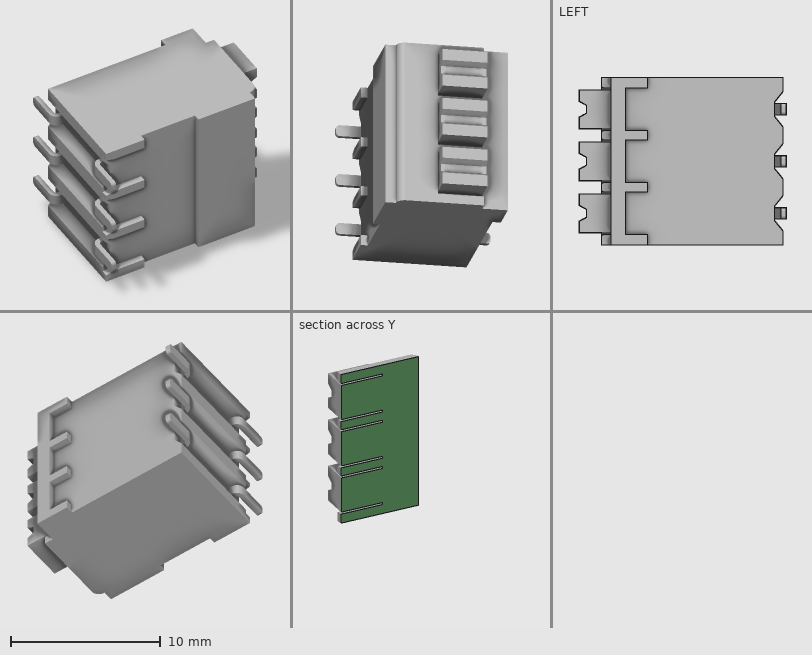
import cadquery as cq
import math


total_depth = 13.85
lead_standoff = 0.22
housing_height = 11.2
unit_pitch = 3.48
unit_centers = [-unit_pitch, 0, unit_pitch]

housing_width = 7.77
housing_depth = 11.5
side_window_half_height = 1.41

flange_projection = 0.57
flange_front = 9.06
flange_notch_end = 10.51

recess_depth = 0.47
recess_front = 2.96
recess_back = 7.12
recess_floor = housing_width - recess_depth
tab_bevel_width = 0.15

groove_depth = 0.57
groove_mouth_half_height = 1.18
groove_floor_half_height = 0.47

rim_height = 0.64
rim_left = 1.16
rim_right = 7.05
rim_corner_radius = 0.65
rim_corner_start = 6.58
rim_back = housing_depth + rim_height
rim_edge_radius = 0.3
rim_edge_depth = 0.22

actuator_clearance = 0.05
actuator_left = rim_left + actuator_clearance
actuator_width = 3.07
actuator_half_height = 1.3
actuator_back = total_depth - lead_standoff
actuator_notch_depth = 0.48
actuator_notch_mouth_half_height = 0.53
actuator_notch_floor_half_height = 0.26

lead_span = 10.5
lead_left = -1.6
lead_mid = lead_left + lead_span / 2
lead_height = 0.78
lead_thickness = 0.35
lead_bend_radius = 0.58
lead_tip_radius = 0.24
lead_leg_inner = 1.08
lead_embedding = 0.28


def box(x_range, y_range, z_range):
    """Axis-aligned box between the given limits."""
    size = [high - low for low, high in (x_range, y_range, z_range)]
    corner = (x_range[0], y_range[0], z_range[0])
    return cq.Workplane("XY").box(*size, centered=False).translate(corner)


def extrude_along_x(points, x_start, x_end):
    """Prism along X with a closed (Y, Z) outline."""
    return cq.Workplane("YZ").workplane(offset=x_start).polyline(points).close().extrude(x_end - x_start)


def make_housing():
    """Body with the stepped outline, extruded over the full height."""
    outline = (
        cq.Workplane("XY")
        .workplane(offset=-housing_height / 2)
        .moveTo(0, 0)
        .lineTo(housing_width, 0)
        .lineTo(housing_width, recess_front)
        .lineTo(recess_floor, recess_front)
        .lineTo(recess_floor, recess_back)
        .lineTo(housing_width, recess_back)
        .lineTo(housing_width, housing_depth)
        .lineTo(rim_right, housing_depth)
        .radiusArc((rim_corner_start, rim_back), -rim_corner_radius)
        .lineTo(rim_left, rim_back)
        .lineTo(rim_left, housing_depth)
        .lineTo(-flange_projection, housing_depth)
        .lineTo(-flange_projection, flange_front)
        .lineTo(0, flange_front)
        .close()
    )
    return outline.extrude(housing_height)


def make_front_groove(z):
    """V-shaped channel in the front face."""
    points = [
        (0, z - groove_mouth_half_height),
        (groove_depth, z - groove_floor_half_height),
        (groove_depth, z + groove_floor_half_height),
        (0, z + groove_mouth_half_height),
    ]
    return extrude_along_x(points, 0, housing_width)


def make_tab_opening(z):
    """Opening through the front right tab, with a bevelled mouth."""
    mouth_half_height = side_window_half_height + tab_bevel_width
    points = [
        (0, z - mouth_half_height),
        (groove_depth, z - side_window_half_height),
        (recess_front, z - side_window_half_height),
        (recess_front, z + side_window_half_height),
        (groove_depth, z + side_window_half_height),
        (0, z + mouth_half_height),
    ]
    return extrude_along_x(points, recess_floor, housing_width)


def make_flange_notch(z):
    """Notch in the front of the left flange."""
    return box(
        (-flange_projection, 0),
        (flange_front, flange_notch_end),
        (z - side_window_half_height, z + side_window_half_height),
    )


def make_rim_window(z):
    """Pocket in the rear rim around one actuator, with rounded outer edges."""
    edge_widening = rim_edge_radius - math.sqrt(rim_edge_radius**2 - rim_edge_depth**2)
    mouth_half_height = side_window_half_height + edge_widening
    edge_start = rim_back - rim_edge_depth
    window_right = actuator_left + actuator_width
    return (
        cq.Workplane("YZ")
        .workplane(offset=rim_left)
        .moveTo(housing_depth, z - side_window_half_height)
        .lineTo(edge_start, z - side_window_half_height)
        .radiusArc((rim_back, z - mouth_half_height), rim_edge_radius)
        .lineTo(rim_back, z + mouth_half_height)
        .radiusArc((edge_start, z + side_window_half_height), rim_edge_radius)
        .lineTo(housing_depth, z + side_window_half_height)
        .close()
        .extrude(window_right - rim_left)
    )


def make_actuator(z):
    """Block behind the housing with a tapered notch in its rear face."""
    notch_floor = actuator_back - actuator_notch_depth
    points = [
        (housing_depth, z - actuator_half_height),
        (actuator_back, z - actuator_half_height),
        (actuator_back, z - actuator_notch_mouth_half_height),
        (notch_floor, z - actuator_notch_floor_half_height),
        (notch_floor, z + actuator_notch_floor_half_height),
        (actuator_back, z + actuator_notch_mouth_half_height),
        (actuator_back, z + actuator_half_height),
        (housing_depth, z + actuator_half_height),
    ]
    return extrude_along_x(points, actuator_left, actuator_left + actuator_width)


def make_left_lead(z):
    """Flat lead: a leg leaving the groove floor, bent outward to the left."""
    arm_front = -lead_standoff
    arm_back = arm_front + lead_thickness
    bend_x = lead_leg_inner - lead_bend_radius
    bend_y = arm_front + lead_bend_radius
    leg_outer = lead_leg_inner - lead_thickness
    leg_end = groove_depth + lead_embedding
    inner_radius = lead_bend_radius - lead_thickness
    lead = (
        cq.Workplane("XY")
        .workplane(offset=z - lead_height / 2)
        .moveTo(lead_left, arm_front)
        .lineTo(bend_x, arm_front)
        .radiusArc((lead_leg_inner, bend_y), -lead_bend_radius)
        .lineTo(lead_leg_inner, leg_end)
        .lineTo(leg_outer, leg_end)
        .lineTo(leg_outer, bend_y)
        .radiusArc((bend_x, arm_back), inner_radius)
        .lineTo(lead_left, arm_back)
        .close()
        .extrude(lead_height)
    )
    return lead.faces("<X").edges("|Y").fillet(lead_tip_radius)


def make_right_lead(z):
    """Mirror image of the left lead."""
    return make_left_lead(z).mirror("YZ", (lead_mid, 0, 0))


result = make_housing()
for center in unit_centers:
    result = result.cut(make_front_groove(center))
    result = result.cut(make_tab_opening(center))
    result = result.cut(make_flange_notch(center))
    result = result.cut(make_rim_window(center))

for center in unit_centers:
    result = result.union(make_actuator(center))
    result = result.union(make_left_lead(center))
    result = result.union(make_right_lead(center))